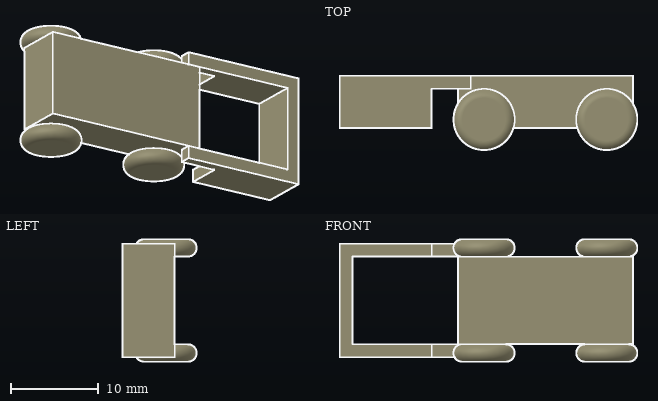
import cadquery as cq

TOTAL_LENGTH = 34.0

CHASSIS_LENGTH = 20.0
CHASSIS_DEPTH = 6.0
CHASSIS_WIDTH = 10.0
CHASSIS_START = 13.5

BRACKET_WALL = 1.5
BRACKET_LENGTH = 15.0
BRACKET_WIDTH = CHASSIS_WIDTH + 2 * BRACKET_WALL
FULL_DEPTH_LENGTH = 10.5

WHEEL_RADIUS = 3.5
WHEEL_THICKNESS = 2.0
WHEEL_SPACING = 14.0
RIM_RADIUS = WHEEL_THICKNESS / 2
FLAT_RADIUS = WHEEL_RADIUS - RIM_RADIUS
REAR_AXLE_X = TOTAL_LENGTH - WHEEL_RADIUS
FRONT_AXLE_X = REAR_AXLE_X - WHEEL_SPACING
AXLE_Y = -(BRACKET_WALL + WHEEL_RADIUS)


def block(start_x, length, depth, width):
    """Box hanging below the deck, centred on the middle plane."""
    return (
        cq.Workplane("XY")
        .box(length, depth, width, centered=(False, False, True))
        .translate((start_x, -depth, 0))
    )


def make_chassis():
    return block(CHASSIS_START, CHASSIS_LENGTH, CHASSIS_DEPTH, CHASSIS_WIDTH)


def make_bracket():
    """Deep U-frame whose arms thin down and grip the sides of the chassis."""
    deep_part = block(0, FULL_DEPTH_LENGTH, CHASSIS_DEPTH, BRACKET_WIDTH)
    thin_part = block(0, BRACKET_LENGTH, BRACKET_WALL, BRACKET_WIDTH)
    opening = block(BRACKET_WALL, BRACKET_LENGTH, CHASSIS_DEPTH, CHASSIS_WIDTH)
    return deep_part.union(thin_part).cut(opening)


def make_wheel(axle_x, middle_z):
    """Solid disc with a half-round rim, turned about an axle along Z."""
    return (
        cq.Workplane("XZ")
        .moveTo(0, -RIM_RADIUS)
        .lineTo(FLAT_RADIUS, -RIM_RADIUS)
        .threePointArc((WHEEL_RADIUS, 0), (FLAT_RADIUS, RIM_RADIUS))
        .lineTo(0, RIM_RADIUS)
        .close()
        .revolve(360, (0, 0), (0, 1))
        .translate((axle_x, AXLE_Y, middle_z))
    )


chassis = make_chassis()
bracket = make_bracket()

wheel_offset = (CHASSIS_WIDTH + WHEEL_THICKNESS) / 2
wheels = [
    make_wheel(axle_x, side * wheel_offset)
    for axle_x in (FRONT_AXLE_X, REAR_AXLE_X)
    for side in (-1, 1)
]

result = cq.Compound.makeCompound(
    [chassis.val(), bracket.val(), *[wheel.val() for wheel in wheels]]
)